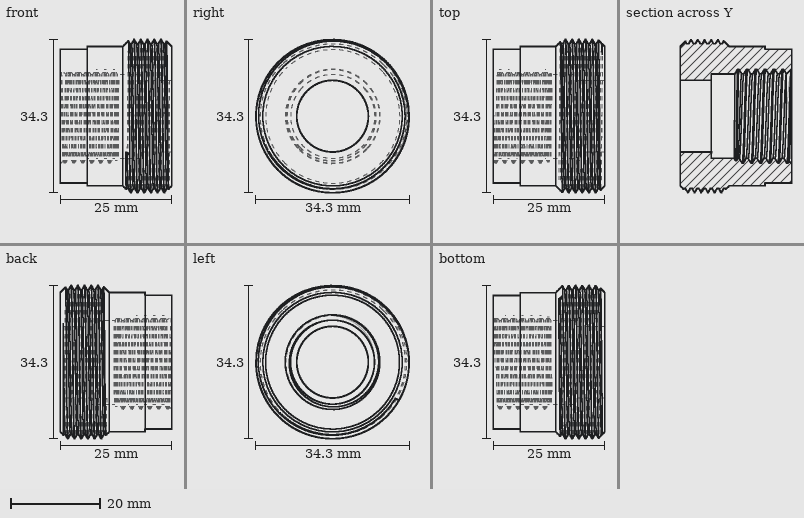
import cadquery as cq
import math

length = 25.0
collar_length = 6.0
body_end = 14.0
collar_radius = 15.0
body_radius = 15.6
thread_radius = 17.15
shoulder_angle = 45

hole_radius = 8.0
socket_radius = 9.4
socket_depth = 18.02
socket_chamfer = 1.2
socket_mouth_radius = socket_radius + socket_chamfer

flank_slope = math.tan(math.radians(30))
sharp_depth_ratio = math.sqrt(3) / 2
outer_depth_ratio = sharp_depth_ratio * 17 / 24
inner_depth_ratio = sharp_depth_ratio * 5 / 8
outer_root_share = 1 / 4
inner_root_share = 1 / 8
overlap = 0.07

ten_outer_turns = 15.0
outer_pitch = ten_outer_turns / 10
outer_start = 14.8
outer_start_angle = -60

inner_pitch = outer_pitch * 4 / 3
inner_full_turns = 6.5
fade_length = inner_pitch / 2

straight_helix = 360


def revolve_about_x(points):
    return cq.Workplane("XY").polyline(points).close().revolve(360, (0, 0, 0), (1, 0, 0))


def sweep_groove(root_radius, root_half, mouth_offset, mouth_half, pitch, height, taper=straight_helix):
    """Sweep a trapezoid up a helix about Z.

    The default taper keeps the helix on a cylinder. Any other taper is a cone half angle,
    and pitch and height then run along the slant of the cone.
    """
    mouth_radius = root_radius + mouth_offset
    helix = cq.Wire.makeHelix(pitch, height, root_radius, angle=taper)
    return (
        cq.Workplane("XZ")
        .polyline([
            (root_radius, -root_half),
            (root_radius, root_half),
            (mouth_radius, mouth_half),
            (mouth_radius, -mouth_half),
        ])
        .close()
        .sweep(cq.Workplane(obj=helix), isFrenet=True)
    )


def place_groove(groove, start, start_angle):
    """Turn a groove about Z onto the part axis; start_angle 0 begins at -Z."""
    return (
        groove.rotate((0, 0, 0), (0, 1, 0), 90)
        .rotate((0, 0, 0), (1, 0, 0), start_angle)
        .translate((start, 0, 0))
    )


def make_outer_groove():
    """Groove cut into the rim, running out past its far end."""
    depth = outer_depth_ratio * outer_pitch
    root_half = outer_root_share * outer_pitch / 2
    mouth_half = root_half + (depth + overlap) * flank_slope
    end = length + outer_pitch
    groove = sweep_groove(
        thread_radius - depth, root_half, depth + overlap, mouth_half, outer_pitch, end - outer_start
    )
    return place_groove(groove, outer_start, outer_start_angle)


def make_inner_grooves():
    """Full-depth socket groove, and the last turn in which it fades out."""
    depth = inner_depth_ratio * inner_pitch
    root_half = inner_root_share * inner_pitch / 2
    mouth_half = root_half + (depth + overlap) * flank_slope
    profile = (socket_radius + depth, root_half, -(depth + overlap), mouth_half)
    start = -inner_pitch / 2
    full_length = inner_full_turns * inner_pitch
    full = place_groove(sweep_groove(*profile, inner_pitch, full_length), start, 0)
    fade_angle = math.degrees(math.atan((depth + overlap) / fade_length))
    fade_slant = math.hypot(depth + overlap, fade_length)
    fade = sweep_groove(*profile, fade_slant, fade_slant, -fade_angle)
    return full, place_groove(fade, start + full_length, 360 * inner_full_turns)


rim_chamfer = (thread_radius - body_radius) / math.tan(math.radians(shoulder_angle))
blank = revolve_about_x([
    (0, 0),
    (0, collar_radius),
    (collar_length, collar_radius),
    (collar_length, body_radius),
    (body_end, body_radius),
    (body_end + rim_chamfer, thread_radius),
    (length - rim_chamfer, thread_radius),
    (length, body_radius),
    (length, 0),
])

bore = revolve_about_x([
    (0, 0),
    (0, socket_mouth_radius),
    (socket_chamfer, socket_radius),
    (socket_depth, socket_radius),
    (socket_depth, hole_radius),
    (length, hole_radius),
    (length, 0),
])

full_groove, fading_groove = make_inner_grooves()

result = blank.cut(bore).cut(make_outer_groove()).cut(full_groove).cut(fading_groove)